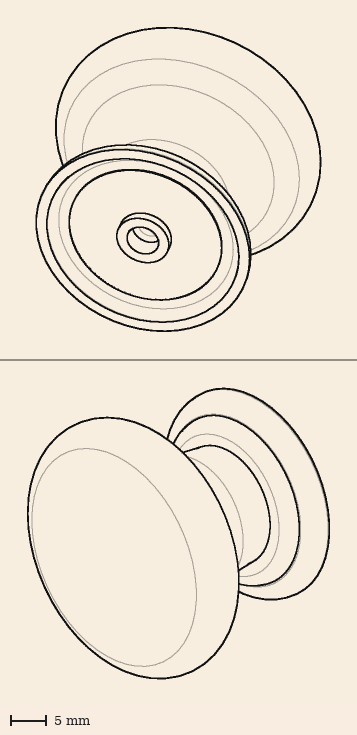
import cadquery as cq
import math


plate_radius = 15.43
plate_edge = 0.3
lower_step_top = 3.0
upper_step_radius = 12.5
plate_top = 5.0
recess_radius = 13.87
recess_depth = 1.5
recess_round = 1.25
pad_radius = 11.02
pad_height = 0.2

spigot_radius = 3.75
neck_radius = 8.78
neck_top_radius = 9.42
neck_top = 11.05
flare_bottom_radius = 13.87
flare_bottom = 17.97
knob_radius = 19.0
rim_round = 4.0
rim_centre = 23.2
rim_end_angle = 60.0
rim_start_angle = 75.0
knob_top = 28.8

hole_radius = 2.28
hole_end_radius = 1.65
hole_depth = 2.8
hole_cone_length = 0.65
hole_tip_length = 0.87


def turn(profile):
    """Revolve a closed (radius, height) profile about the Y axis."""
    return profile.close().revolve(360, (0, 0, 0), (0, 1, 0))


def rim_point(angle):
    """Point on the rim circle, with the angle in degrees above horizontal."""
    turned = math.radians(angle)
    return (
        knob_radius - rim_round + rim_round * math.cos(turned),
        rim_centre + rim_round * math.sin(turned),
    )


def make_backplate():
    lower_round = lower_step_top - plate_edge
    recess_floor_radius = recess_radius - recess_round
    upper_round = plate_top - lower_step_top
    pad_face = recess_depth - pad_height
    profile = (
        cq.Workplane("XY")
        .moveTo(spigot_radius, pad_face)
        .lineTo(pad_radius, pad_face)
        .lineTo(pad_radius, recess_depth)
        .lineTo(recess_floor_radius, recess_depth)
        .tangentArcPoint((recess_radius, recess_depth - recess_round), relative=False)
        .lineTo(recess_radius, 0)
        .lineTo(plate_radius, 0)
        .lineTo(plate_radius, plate_edge)
        .tangentArcPoint((plate_radius - lower_round, lower_step_top), relative=False)
        .lineTo(upper_step_radius, lower_step_top)
        .radiusArc((upper_step_radius - upper_round, plate_top), -upper_round)
        .lineTo(spigot_radius, plate_top)
    )
    return turn(profile)


def make_screw_hole():
    cone_end = hole_depth + hole_cone_length
    profile = (
        cq.Workplane("XY")
        .lineTo(hole_radius, 0)
        .lineTo(hole_radius, hole_depth)
        .lineTo(hole_end_radius, cone_end)
        .lineTo(0, cone_end + hole_tip_length)
    )
    return turn(profile)


def make_knob():
    rim_bottom = rim_point(-rim_end_angle)
    rim_top = rim_point(rim_start_angle)
    dome_rise = knob_top - rim_top[1]
    dome_radius = (rim_top[0] ** 2 + dome_rise ** 2) / (2 * dome_rise)
    dome_middle_radius = rim_top[0] / 2
    dome_middle = knob_top - dome_radius + math.sqrt(dome_radius ** 2 - dome_middle_radius ** 2)
    profile = (
        cq.Workplane("XY")
        .moveTo(0, knob_top)
        .threePointArc((dome_middle_radius, dome_middle), rim_top)
        .threePointArc((knob_radius, rim_centre), rim_bottom)
        .lineTo(flare_bottom_radius, flare_bottom)
        .tangentArcPoint((neck_top_radius, neck_top), relative=False)
        .lineTo(neck_radius, plate_top)
        .lineTo(spigot_radius, plate_top)
        .lineTo(spigot_radius, 0)
        .lineTo(0, 0)
    )
    return turn(profile).cut(make_screw_hole())


backplate = make_backplate()
knob = make_knob()

result = cq.Compound.makeCompound([backplate.val(), knob.val()])